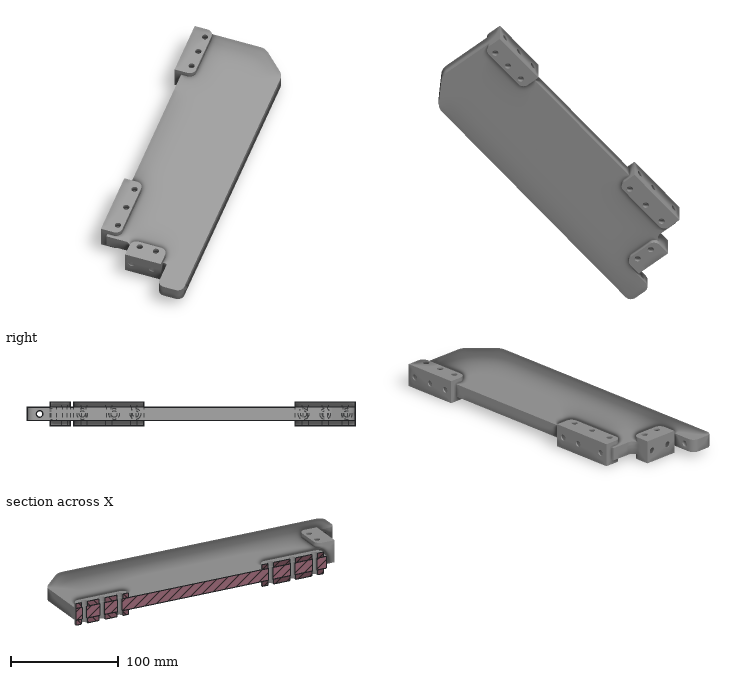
import cadquery as cq


LENGTH = 304.8
PLATE_LEFT = 6.5
PLATE_RIGHT = 95.0
PLATE_THICKNESS = 12.5
STEP_Y = 40.2
LOWER_EDGE_Y = 27.5
TONGUE_LEFT = 70.7
CORNER_CHAMFER = 25.3
CHAMFER_BLEND_RADIUS = 12.8
TONGUE_TIP_RADIUS = 6.5
STEP_RADIUS = 6.5
TONGUE_ROOT_RADIUS = 1.5
TONGUE_HOLE_DIAMETER = 5.8
TONGUE_HOLE_Y = 11.5
PLATE_HOLE_DIAMETER = 4.3

BRACKET_DEPTH = 19.0
BRACKET_HEIGHT = 22.3
BRACKET_CORNER_RADIUS = 6.5
CLAMP_HOLE_DIAMETER = 5.8
CLAMP_HOLE_INSET = 5.5
MOUNT_HOLE_DIAMETER = 5.8
COUNTERBORE_DIAMETER = 10.0
SIDE_WEB = PLATE_LEFT
SIDE_COUNTERBORE_SKIN = 1.2

UPPER_LENGTH = 56.0
UPPER_START = LENGTH - UPPER_LENGTH
UPPER_CLAMP_PITCH = 18.5
UPPER_MOUNT_PITCH = 20.0

LOWER_LENGTH = 65.2
LOWER_START = 43.3
LOWER_CLAMP_PITCH = 23.2
LOWER_MOUNT_OFFSETS = [8.0, 37.5, 57.3]

END_LENGTH = 35.0
END_LEFT = 31.7
END_BOTTOM = STEP_Y - BRACKET_DEPTH
END_WEB = LOWER_EDGE_Y - END_BOTTOM
END_CLAMP_PITCH = 16.0
END_MOUNT_OFFSETS = [6.0, 26.2]
END_COUNTERBORE_SKIN = 0.67


def centered_row(length, pitch, count):
    """Offsets of equally spaced holes centered along a length."""
    first = (length - pitch * (count - 1)) / 2
    return [first + pitch * i for i in range(count)]


UPPER_CLAMP_OFFSETS = centered_row(UPPER_LENGTH, UPPER_CLAMP_PITCH, 3)
UPPER_MOUNT_OFFSETS = centered_row(UPPER_LENGTH, UPPER_MOUNT_PITCH, 3)
LOWER_CLAMP_OFFSETS = centered_row(LOWER_LENGTH, LOWER_CLAMP_PITCH, 3)
END_CLAMP_OFFSETS = centered_row(END_LENGTH, END_CLAMP_PITCH, 2)


def make_bracket(length, web, counterbore_skin, clamp_offsets, mount_offsets):
    """Bracket with its outer face on X = 0, running along +Y from Y = 0, slot open toward +X."""
    body = (
        cq.Workplane("XY")
        .box(BRACKET_DEPTH, length, BRACKET_HEIGHT, centered=(False, False, True))
        .edges("|Z and >X")
        .fillet(BRACKET_CORNER_RADIUS)
    )
    slot = (
        cq.Workplane("XY")
        .box(BRACKET_DEPTH, length, PLATE_THICKNESS, centered=(False, False, True))
        .translate((web, 0, 0))
    )
    clamp_holes = (
        cq.Workplane("XY")
        .pushPoints([(BRACKET_DEPTH - CLAMP_HOLE_INSET, y) for y in clamp_offsets])
        .circle(CLAMP_HOLE_DIAMETER / 2)
        .extrude(BRACKET_HEIGHT, both=True)
    )
    mount_holes = (
        cq.Workplane("YZ")
        .pushPoints([(y, 0) for y in mount_offsets])
        .circle(MOUNT_HOLE_DIAMETER / 2)
        .extrude(web)
    )
    counterbores = (
        cq.Workplane("YZ", origin=(counterbore_skin, 0, 0))
        .pushPoints([(y, 0) for y in mount_offsets])
        .circle(COUNTERBORE_DIAMETER / 2)
        .extrude(web - counterbore_skin)
    )
    return body.cut(slot).cut(clamp_holes).cut(mount_holes).cut(counterbores)


def make_side_bracket(start, length, clamp_offsets, mount_offsets):
    """Bracket on the left edge of the plate."""
    bracket = make_bracket(length, SIDE_WEB, SIDE_COUNTERBORE_SKIN, clamp_offsets, mount_offsets)
    return bracket.translate((0, start, 0))


def make_end_bracket():
    """Bracket on the lower edge of the plate."""
    mount_offsets = [END_LENGTH - x for x in END_MOUNT_OFFSETS]
    return (
        make_bracket(END_LENGTH, END_WEB, END_COUNTERBORE_SKIN, END_CLAMP_OFFSETS, mount_offsets)
        .rotate((0, 0, 0), (0, 0, 1), 90)
        .translate((END_LEFT + END_LENGTH, END_BOTTOM, 0))
    )


def fillet_corners(plate, corners, radius):
    """Round the vertical plate edges that pass through the given XY corners."""
    for x, y in corners:
        plate = plate.edges(cq.selectors.NearestToPointSelector((x, y, 0))).fillet(radius)
    return plate


def make_plate():
    """Stepped plate with a tongue, pierced by the clamp holes of every bracket."""
    chamfer_x = PLATE_RIGHT - CORNER_CHAMFER
    chamfer_y = LENGTH - CORNER_CHAMFER
    outline = [
        (PLATE_LEFT, LENGTH),
        (chamfer_x, LENGTH),
        (PLATE_RIGHT, chamfer_y),
        (PLATE_RIGHT, 0),
        (TONGUE_LEFT, 0),
        (TONGUE_LEFT, LOWER_EDGE_Y),
        (END_LEFT, LOWER_EDGE_Y),
        (END_LEFT, STEP_Y),
        (PLATE_LEFT, STEP_Y),
    ]
    plate = cq.Workplane("XY").polyline(outline).close().extrude(PLATE_THICKNESS / 2, both=True)
    plate = fillet_corners(plate, [(chamfer_x, LENGTH), (PLATE_RIGHT, chamfer_y)], CHAMFER_BLEND_RADIUS)
    plate = fillet_corners(plate, [(PLATE_RIGHT, 0), (TONGUE_LEFT, 0)], TONGUE_TIP_RADIUS)
    plate = fillet_corners(plate, [(TONGUE_LEFT, LOWER_EDGE_Y)], TONGUE_ROOT_RADIUS)
    plate = fillet_corners(plate, [(END_LEFT, STEP_Y)], STEP_RADIUS)

    side_x = BRACKET_DEPTH - CLAMP_HOLE_INSET
    end_y = END_BOTTOM + side_x
    clamp_points = [(side_x, UPPER_START + y) for y in UPPER_CLAMP_OFFSETS]
    clamp_points += [(side_x, LOWER_START + y) for y in LOWER_CLAMP_OFFSETS]
    clamp_points += [(END_LEFT + x, end_y) for x in END_CLAMP_OFFSETS]
    clamp_holes = (
        cq.Workplane("XY")
        .pushPoints(clamp_points)
        .circle(PLATE_HOLE_DIAMETER / 2)
        .extrude(PLATE_THICKNESS, both=True)
    )
    tongue_hole = (
        cq.Workplane("YZ", origin=(TONGUE_LEFT, 0, 0))
        .center(TONGUE_HOLE_Y, 0)
        .circle(TONGUE_HOLE_DIAMETER / 2)
        .extrude(PLATE_RIGHT - TONGUE_LEFT)
    )
    return plate.cut(clamp_holes).cut(tongue_hole)


plate = make_plate()
side_brackets = [
    make_side_bracket(start, length, clamp_offsets, mount_offsets)
    for start, length, clamp_offsets, mount_offsets in [
        (UPPER_START, UPPER_LENGTH, UPPER_CLAMP_OFFSETS, UPPER_MOUNT_OFFSETS),
        (LOWER_START, LOWER_LENGTH, LOWER_CLAMP_OFFSETS, LOWER_MOUNT_OFFSETS),
    ]
]
end_bracket = make_end_bracket()

result = cq.Compound.makeCompound(
    [plate.val(), *[bracket.val() for bracket in side_brackets], end_bracket.val()]
)